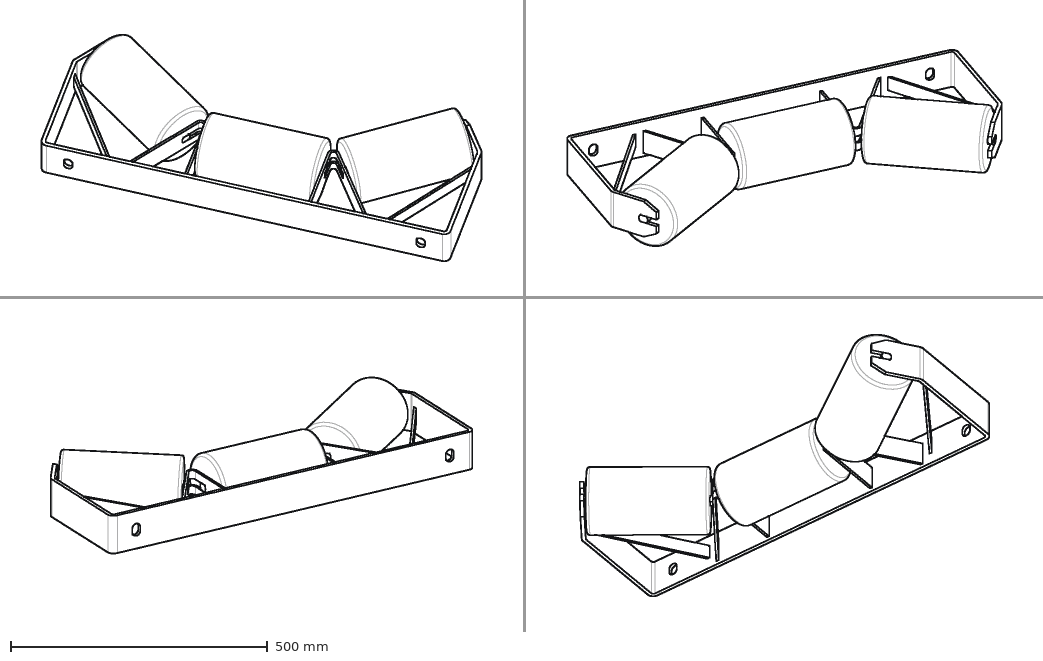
import cadquery as cq
import math


frame_length = 830.0
strap_thickness = 8.0
strap_height = 80.0
strap_bend_radius = 13.0
strap_side_height = 227.0
wing_angle = 35.0
wing_plate_length = 102.0
tip_chamfer_length = 29.0
tip_chamfer_height = 16.0
mount_hole_x = 358.0
mount_hole_width = 18.0
mount_hole_height = 26.0

roller_diameter = 133.0
roller_length = 240.0
roller_edge_radius = 6.0
axle_diameter = 20.0
axle_flat_width = 15.0
slot_depth = 25.0
roller_drop = 6.8
centre_roller_y = 127.0
wing_roller_x = 265.0
wing_roller_y = 209.0

plate_thickness = 5.0
bracket_height = 50.0
brace_height = 30.0
bracket_bend_radius = 12.0
bracket_roller_gap = 3.0
bracket_wing_foot_x = 252.0
brace_top_y = 215.0
brace_foot_x = 268.0

half_length = frame_length / 2
wing_sin = math.sin(math.radians(wing_angle))
wing_cos = math.cos(math.radians(wing_angle))
strap_inner_x = half_length - strap_thickness
bracket_inner_x = roller_length / 2 + bracket_roller_gap
centre_axle_end = bracket_inner_x + plate_thickness

wing_axle_outer = (
    (half_length - wing_roller_x) * wing_cos + (strap_side_height - wing_roller_y) * wing_sin
)
wing_axle_inner = (
    (wing_roller_x - bracket_wing_foot_x) * wing_cos
    + (wing_roller_y - strap_thickness) * wing_sin
    + plate_thickness
)
wing_tilt = math.degrees(math.asin(roller_drop / (wing_axle_outer + wing_axle_inner)))
wing_roller_z = -wing_axle_outer * math.sin(math.radians(wing_tilt))


def mirrored(body):
    """Copy of a left-hand body on the right-hand side."""
    return body.mirror("YZ")


def place_on_wing(body):
    """Move a body built along X about the origin onto the left wing roller axis."""
    return (
        body.rotate((0, 0, 0), (0, 1, 0), wing_tilt)
        .rotate((0, 0, 0), (0, 0, 1), -wing_angle)
        .translate((-wing_roller_x, wing_roller_y, wing_roller_z))
    )


def place_at_centre(body):
    """Move a body built along X about the origin onto the centre roller axis."""
    return body.translate((0, centre_roller_y, -roller_drop))


def make_axle(x_start, x_end):
    """Round axle along X with two flats facing up and down."""
    length = x_end - x_start
    middle = (x_start + x_end) / 2
    flats = cq.Workplane("XY").box(length, axle_diameter, axle_flat_width).translate((middle, 0, 0))
    rod = cq.Workplane("YZ").workplane(offset=x_start).circle(axle_diameter / 2).extrude(length)
    return rod.intersect(flats)


def make_roller(axle_start, axle_end):
    """Roller along X about the origin, with its axle showing at both ends."""
    shell = (
        cq.Workplane("YZ")
        .workplane(offset=-roller_length / 2)
        .circle(roller_diameter / 2)
        .extrude(roller_length)
        .faces("<X or >X")
        .edges()
        .fillet(roller_edge_radius)
    )
    return shell.union(make_axle(axle_start, axle_end))


def make_axle_slot(x_start, x_end):
    """Cutter for a slot that fits the axle and is open towards +Y."""
    reach = roller_diameter / 2
    middle = (x_start + x_end) / 2
    opening = (
        cq.Workplane("XY")
        .box(x_end - x_start, reach, axle_flat_width)
        .translate((middle, reach / 2, 0))
    )
    return make_axle(x_start, x_end).union(opening)


wing_outer_slot = place_on_wing(make_axle_slot(-roller_length / 2 - slot_depth, -roller_length / 2))
wing_inner_slot = place_on_wing(make_axle_slot(roller_length / 2, roller_length / 2 + slot_depth))
centre_slot = place_at_centre(make_axle_slot(-roller_length / 2 - slot_depth, -roller_length / 2))


def make_frame():
    """Strap bent into a tray, its ends leaning in as slotted wing plates."""
    tip_x = half_length - wing_plate_length * wing_sin
    tip_y = strap_side_height + wing_plate_length * wing_cos
    inner_lean_y = strap_side_height - strap_thickness * math.tan(math.radians(wing_angle / 2))
    tip_inner_x = tip_x - strap_thickness * wing_cos
    tip_inner_y = tip_y - strap_thickness * wing_sin
    left_outer = [(-tip_x, tip_y), (-half_length, strap_side_height), (-half_length, 0)]
    left_inner = [
        (-strap_inner_x, strap_thickness),
        (-strap_inner_x, inner_lean_y),
        (-tip_inner_x, tip_inner_y),
    ]
    right_outer = [(-x, y) for x, y in reversed(left_outer)]
    right_inner = [(-x, y) for x, y in reversed(left_inner)]
    frame = (
        cq.Workplane("XY")
        .polyline(left_outer + right_outer + right_inner + left_inner)
        .close()
        .extrude(strap_height / 2, both=True)
    )

    for corners, radius in (
        (left_outer[1:] + right_outer[:2], strap_bend_radius),
        (left_inner[:2] + right_inner[1:], strap_bend_radius - strap_thickness),
    ):
        for x, y in corners:
            corner = cq.selectors.NearestToPointSelector((x, y, 0))
            frame = frame.edges("|Z").edges(corner).fillet(radius)

    tip_plane = cq.Plane(
        origin=(-tip_x, tip_y, 0),
        xDir=(wing_sin, wing_cos, 0),
        normal=(-wing_cos, wing_sin, 0),
    )
    for side in (1, -1):
        edge = side * strap_height / 2
        clip = (
            cq.Workplane(tip_plane)
            .polyline([(0, edge), (0, edge - side * tip_chamfer_height), (-tip_chamfer_length, edge)])
            .close()
            .extrude(strap_thickness * 2, both=True)
        )
        frame = frame.cut(clip).cut(mirrored(clip))

    mount_holes = (
        cq.Workplane("XZ")
        .pushPoints([(-mount_hole_x, 0), (mount_hole_x, 0)])
        .slot2D(mount_hole_height, mount_hole_width, 90)
        .extrude(strap_thickness * 2, both=True)
    )
    return frame.cut(mount_holes).cut(wing_outer_slot).cut(mirrored(wing_outer_slot))


def make_bracket():
    """Left inner bracket: a sloping and an upright leg joined by a bend."""
    sharp_rise = (bracket_wing_foot_x - bracket_inner_x) / math.tan(math.radians(wing_angle))
    outer_apex = (-bracket_inner_x, strap_thickness + sharp_rise)
    apex_drop = plate_thickness / math.tan(math.radians(wing_angle / 2))
    inner_apex = (-centre_axle_end, outer_apex[1] - apex_drop)
    inner_foot_x = bracket_wing_foot_x - plate_thickness / wing_cos
    bracket = (
        cq.Workplane("XY")
        .workplane(offset=-roller_drop)
        .polyline([
            (-bracket_wing_foot_x, strap_thickness),
            outer_apex,
            (-bracket_inner_x, strap_thickness),
            (-centre_axle_end, strap_thickness),
            inner_apex,
            (-inner_foot_x, strap_thickness),
        ])
        .close()
        .extrude(bracket_height / 2, both=True)
    )
    for apex, radius in (
        (outer_apex, bracket_bend_radius),
        (inner_apex, bracket_bend_radius - plate_thickness),
    ):
        corner = cq.selectors.NearestToPointSelector((*apex, -roller_drop))
        bracket = bracket.edges("|Z").edges(corner).fillet(radius)
    return bracket.cut(wing_inner_slot).cut(centre_slot)


def make_brace():
    """Left diagonal strip between the side and the base of the strap."""
    run = strap_inner_x - brace_foot_x
    rise = brace_top_y - strap_thickness
    slope_length = math.hypot(run, rise)
    return (
        cq.Workplane("XY")
        .polyline([
            (-strap_inner_x, brace_top_y),
            (-brace_foot_x, strap_thickness),
            (-brace_foot_x - plate_thickness * slope_length / rise, strap_thickness),
            (-strap_inner_x, brace_top_y - plate_thickness * slope_length / run),
        ])
        .close()
        .extrude(brace_height / 2, both=True)
    )


frame = make_frame()
centre_roller = place_at_centre(make_roller(-centre_axle_end, centre_axle_end))
wing_roller = place_on_wing(make_roller(-wing_axle_outer, wing_axle_inner))
bracket = make_bracket()
brace = make_brace()

bodies = [frame.val(), centre_roller.val()]
for left_body in (wing_roller, bracket, brace):
    bodies.append(left_body.val())
    bodies.append(mirrored(left_body).val())

result = cq.Compound.makeCompound(bodies)